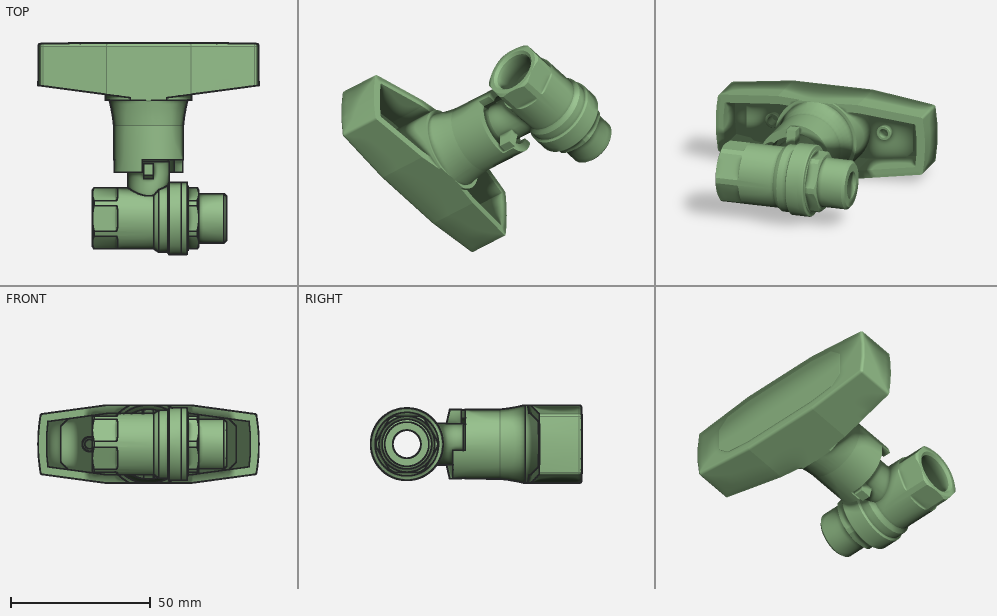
import cadquery as cq
import math


body_left = -20.1
barrel_dia = 22.0
hex_across_flats = 20.0
body_hex_end = -11.1
hex_root_radius = 0.6
hex_end_chamfer = 0.6
hex_end_dia = 20.0
cone_start = 1.9
cone_end = 3.65
shoulder_dia = 24.3
shoulder_end = 6.9
collar_dia = 26.0
collar_start = 7.4
joint_x = 11.8
collar_end = 13.9
collar_edge_radius = 0.4
relief_dia = 22.8
relief_end = 14.2
end_hex_end = 18.04
spigot_dia = 17.76
spigot_end = 28.0
spigot_chamfer_length = 0.95
spigot_chamfer_depth = 0.95
bore_dia = 10.0
socket_dia = 14.95
socket_mouth_dia = 16.8
socket_depth = 10.0

neck_dia = 15.0
neck_top = 20.3
journal_dia = 14.2
journal_top = 33.0
lug_width = 3.3
lug_reach = 12.45
lug_bottom = 14.2
lug_slope_top = 15.35
lug_top = 19.5

sleeve_dia = 25.0
sleeve_bottom = 16.5
sleeve_skirt_bore = 19.0
notch_top = 20.97
skirt_bore_top = 25.6
notch_overlap = 2.2
flare_start = 33.27
flare_dia = 28.1
flare_hollow = 0.2
hub_dia = 30.9
hub_bottom = 42.35

grip_back = 62.65
grip_half_height = 14.0
grip_half_length = 39.61
grip_flat_half_length = 15.1
grip_corner_x = 38.65
grip_corner_z = 10.8
grip_corner_radius = 1.0
grip_back_radius = 1.0
grip_front_rise = 5.25
grip_wall = 3.0
web_thickness = 2.75
pad_thickness = 2.0

pad_half_length = 31.5
pad_corner_z = 6.4
cap_wall = 3.0
cap_margin = 3.5
cap_thickness = 2.0
cap_back = 62.9
peg_x = 21.1
peg_dia = 5.4
peg_tip_chamfer = 0.2
peg_hole_dia = 3.4
peg_protrusion = 2.0

web_front = grip_back - web_thickness
pad_front = web_front - pad_thickness
cap_front = cap_back - cap_thickness


def plane_across_y(y):
    """Plane at height y along the stem axis, facing +Y."""
    return cq.Workplane(cq.Plane(origin=(0, y, 0), xDir=(1, 0, 0), normal=(0, 1, 0)))


def plane_across_x(x):
    """Plane at position x along the pipe axis, facing +X."""
    return cq.Workplane("YZ", origin=(x, 0, 0))


def disc_x(start, end, dia):
    return plane_across_x(start).circle(dia / 2).extrude(end - start)


def disc_y(start, end, dia):
    return plane_across_y(start).circle(dia / 2).extrude(end - start)


def turned_x(points):
    """Solid turned about the pipe axis from (x, radius) points."""
    first_x = points[0][0]
    last_x = points[-1][0]
    outline = [(first_x, 0)] + points + [(last_x, 0)]
    return cq.Workplane("XY").polyline(outline).close().revolve(360, (0, 0, 0), (1, 0, 0))


def hexagon_across_x(x, across_flats):
    """Hexagon with two flats facing +Z and -Z."""
    return plane_across_x(x).polygon(6, across_flats / math.cos(math.pi / 6))


def make_flat_cutter():
    """Cutter for one flat of the socket hexagon, with a rounded root at its end wall."""
    flat_height = hex_across_flats / 2
    root_start = body_hex_end - hex_root_radius
    root_middle = (
        root_start + hex_root_radius * math.sin(math.pi / 4),
        flat_height + hex_root_radius * (1 - math.cos(math.pi / 4)),
    )
    return (
        cq.Workplane("XZ")
        .moveTo(body_left, flat_height)
        .lineTo(root_start, flat_height)
        .threePointArc(root_middle, (body_hex_end, flat_height + hex_root_radius))
        .lineTo(body_hex_end, barrel_dia)
        .lineTo(body_left, barrel_dia)
        .close()
        .extrude(barrel_dia / 2, both=True)
    )


def make_lug(side):
    """Stop lug on the neck, on the +Z side (side = 1) or the -Z side (side = -1)."""
    outline = [
        (lug_bottom, 0),
        (lug_bottom, side * neck_dia / 2),
        (lug_slope_top, side * lug_reach),
        (lug_top, side * lug_reach),
        (lug_top, 0),
    ]
    return cq.Workplane("YZ").polyline(outline).close().extrude(lug_width / 2, both=True)


def make_body():
    body = turned_x([
        (body_left, hex_end_dia / 2),
        (body_left + hex_end_chamfer, barrel_dia / 2),
        (cone_start, barrel_dia / 2),
        (cone_end, shoulder_dia / 2),
        (shoulder_end, shoulder_dia / 2),
        (collar_start, collar_dia / 2),
        (joint_x, collar_dia / 2),
    ])
    flat_cutter = make_flat_cutter()
    for i in range(6):
        body = body.cut(flat_cutter.rotate((0, 0, 0), (1, 0, 0), 60 * i))
    body = body.union(disc_y(0, neck_top, neck_dia))
    body = body.union(disc_y(0, journal_top, journal_dia))
    for side in (1, -1):
        body = body.union(make_lug(side))
    mouth_depth = (socket_mouth_dia - socket_dia) / 2
    socket = turned_x([
        (body_left, socket_mouth_dia / 2),
        (body_left + mouth_depth, socket_dia / 2),
        (body_left + socket_depth, socket_dia / 2),
    ])
    return body.cut(socket).cut(disc_x(body_left, joint_x, bore_dia))


def make_end_connection():
    collar = disc_x(joint_x, collar_end, collar_dia).faces(">X").edges().fillet(collar_edge_radius)
    relief = disc_x(collar_end, relief_end, relief_dia)
    hex_blank = turned_x([
        (relief_end, barrel_dia / 2),
        (end_hex_end - hex_end_chamfer, barrel_dia / 2),
        (end_hex_end, hex_end_dia / 2),
    ])
    flats = hexagon_across_x(relief_end, hex_across_flats).extrude(end_hex_end - relief_end)
    spigot = turned_x([
        (end_hex_end, spigot_dia / 2),
        (spigot_end - spigot_chamfer_length, spigot_dia / 2),
        (spigot_end, spigot_dia / 2 - spigot_chamfer_depth),
    ])
    connection = collar.union(relief).union(hex_blank.intersect(flats)).union(spigot)
    return connection.cut(disc_x(joint_x, spigot_end, bore_dia))


def make_grip_prism(start, end):
    """Full outline of the grip: long hexagon with bowed ends and rounded corners."""
    return (
        plane_across_y(start)
        .moveTo(-grip_flat_half_length, grip_half_height)
        .lineTo(grip_flat_half_length, grip_half_height)
        .lineTo(grip_corner_x, grip_corner_z)
        .threePointArc((grip_half_length, 0), (grip_corner_x, -grip_corner_z))
        .lineTo(grip_flat_half_length, -grip_half_height)
        .lineTo(-grip_flat_half_length, -grip_half_height)
        .lineTo(-grip_corner_x, -grip_corner_z)
        .threePointArc((-grip_half_length, 0), (-grip_corner_x, grip_corner_z))
        .close()
        .extrude(end - start)
        .edges("|Y").edges(">X or <X")
        .fillet(grip_corner_radius)
    )


def make_inset_prism(margin, start, end):
    """Grip outline moved inward by a margin."""
    outline = make_grip_prism(start, end).faces("<Y").wires().val().offset2D(-margin)[0]
    return cq.Workplane(cq.Solid.extrudeLinear(outline, [], cq.Vector(0, end - start, 0)))


def make_cut_corner_prism(half_length, corner_z, start, end):
    """Long block across the grip with 45 degree corners."""
    run = grip_half_height - corner_z
    outline = [
        (half_length, corner_z),
        (half_length - run, grip_half_height),
        (run - half_length, grip_half_height),
        (-half_length, corner_z),
        (-half_length, -corner_z),
        (run - half_length, -grip_half_height),
        (half_length - run, -grip_half_height),
        (half_length, -corner_z),
    ]
    return plane_across_y(start).polyline(outline).close().extrude(end - start)


def make_cap_plate(back):
    """Plate outline of the cap, from its front face to the given back face."""
    half_length = pad_half_length - cap_wall
    corner_z = pad_corner_z - cap_wall * math.tan(math.pi / 8)
    plate = make_cut_corner_prism(half_length, corner_z, cap_front, back)
    return plate.intersect(make_inset_prism(cap_margin, cap_front, back))


def make_pegs(dia, start, end):
    return plane_across_y(start).pushPoints([(-peg_x, 0), (peg_x, 0)]).circle(dia / 2).extrude(end - start)


def make_grip():
    shell = make_grip_prism(hub_bottom, grip_back).faces(">Y").edges().fillet(grip_back_radius)
    pocket = make_inset_prism(grip_wall, hub_bottom, web_front)
    pad = make_cut_corner_prism(pad_half_length, pad_corner_z, pad_front, web_front)
    shell = shell.cut(pocket.cut(pad))
    rim_end = hub_bottom + grip_front_rise
    below_rim = (
        cq.Workplane("XY")
        .polyline([
            (0, hub_bottom),
            (grip_half_length, rim_end),
            (grip_half_length, hub_bottom),
            (-grip_half_length, hub_bottom),
            (-grip_half_length, rim_end),
        ])
        .close()
        .extrude(grip_half_height, both=True)
    )
    return shell.cut(below_rim)


def make_sleeve():
    """Sleeve over the neck: straight skirt, hollow-curved flare and a hub reaching the web."""
    flare_middle = ((sleeve_dia + flare_dia) / 4 - flare_hollow, (flare_start + hub_bottom) / 2)
    sleeve = (
        cq.Workplane("XY")
        .moveTo(0, sleeve_bottom)
        .lineTo(sleeve_dia / 2, sleeve_bottom)
        .lineTo(sleeve_dia / 2, flare_start)
        .threePointArc(flare_middle, (flare_dia / 2, hub_bottom))
        .lineTo(hub_dia / 2, hub_bottom)
        .lineTo(hub_dia / 2, pad_front)
        .lineTo(0, pad_front)
        .close()
        .revolve(360, (0, 0, 0), (0, 1, 0))
    )
    trim = (
        plane_across_y(sleeve_bottom)
        .rect(2 * hub_dia, 2 * grip_half_height)
        .extrude(pad_front - sleeve_bottom)
    )
    return sleeve.intersect(trim)


def make_quarter_notch(side):
    """Quarter-turn notch in the skirt, on the +X +Z side (side = 1) or opposite (side = -1)."""
    size = sleeve_dia
    height = notch_top - sleeve_bottom
    centre = side * (size / 2 - notch_overlap)
    middle_y = sleeve_bottom + height / 2
    return cq.Workplane("XY").box(size, height, size).translate((centre, middle_y, centre))


def make_handle():
    handle = make_grip().union(make_sleeve())
    handle = handle.cut(disc_y(sleeve_bottom, skirt_bore_top, sleeve_skirt_bore))
    handle = handle.cut(disc_y(sleeve_bottom, journal_top, journal_dia))
    for side in (1, -1):
        handle = handle.cut(make_quarter_notch(side))
    handle = handle.cut(make_cap_plate(grip_back))
    return handle.cut(make_pegs(peg_dia, pad_front, cap_front))


def make_cap():
    peg_front = pad_front - peg_protrusion
    pegs = make_pegs(peg_dia, peg_front, cap_front).faces("<Y").edges().chamfer(peg_tip_chamfer)
    cap = make_cap_plate(cap_back).union(pegs)
    return cap.cut(make_pegs(peg_hole_dia, peg_front, cap_front))


body = make_body()
end_connection = make_end_connection()
handle = make_handle()
cap = make_cap()

result = cq.Compound.makeCompound([
    body.val(),
    end_connection.val(),
    handle.val(),
    cap.val(),
])